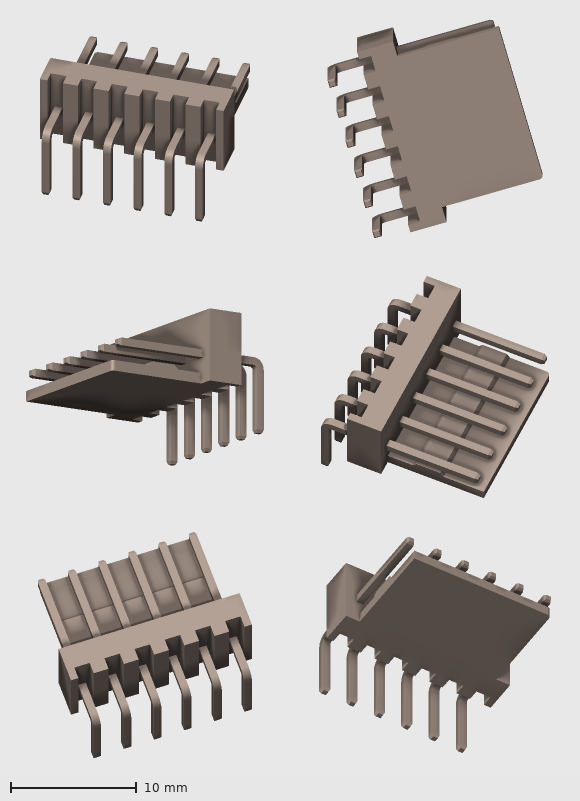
import cadquery as cq

PIN_COUNT = 6
WIDTH = 15.24
PITCH = WIDTH / PIN_COUNT
FIRST_PIN_X = -WIDTH / 2 + PITCH / 2
PIN_XS = [FIRST_PIN_X + i * PITCH for i in range(PIN_COUNT)]

WALL_DEPTH = 2.99
WALL_HEIGHT = 5.9
SLOT_WIDTH = 1.3
SLOT_DEPTH = 0.99

PLATE_WIDTH = WIDTH - PITCH
PLATE_LENGTH = 8.4
PLATE_THICKNESS = 0.87
CATCH_START = 2.16
CATCH_END = 4.88
CATCH_HEIGHT = 0.35
CATCH_FRONT_RUN = 0.35
CATCH_REAR_RUN = 0.29
CORNER_RADIUS = 0.3

PIN_SIZE = 0.64
PIN_TOP_Z = 2.71
PIN_REAR_Y = 8.0
PIN_FRONT_REACH = 2.71
PIN_FRONT_Y = -(WALL_DEPTH + PIN_FRONT_REACH)
PIN_BOTTOM_Z = -3.4
BEND_OUTER_RADIUS = 0.93
BEND_INNER_RADIUS = BEND_OUTER_RADIUS - PIN_SIZE
TIP_LENGTH = 0.26
TIP_INSET = 0.1


def make_wall():
    wall = cq.Workplane("XY").box(WIDTH, WALL_DEPTH, WALL_HEIGHT, centered=(True, False, False))
    wall = wall.translate((0, -WALL_DEPTH, 0))
    for x in PIN_XS:
        slot = cq.Workplane("XY").box(SLOT_WIDTH, SLOT_DEPTH, WALL_HEIGHT, centered=(True, False, False))
        wall = wall.cut(slot.translate((x, -WALL_DEPTH, 0)))
    return wall


def make_plate():
    catch_top = PLATE_THICKNESS + CATCH_HEIGHT
    plate = (
        cq.Workplane("YZ")
        .moveTo(0, 0)
        .lineTo(PLATE_LENGTH, 0)
        .lineTo(PLATE_LENGTH, PLATE_THICKNESS)
        .lineTo(CATCH_END, PLATE_THICKNESS)
        .lineTo(CATCH_END - CATCH_REAR_RUN, catch_top)
        .lineTo(CATCH_START + CATCH_FRONT_RUN, catch_top)
        .lineTo(CATCH_START, PLATE_THICKNESS)
        .lineTo(0, PLATE_THICKNESS)
        .close()
        .extrude(PLATE_WIDTH / 2, both=True)
    )
    return plate.edges("|Z and >Y").edges("<X").fillet(CORNER_RADIUS)


def make_pin_tip():
    """Tapered square end, from its full section at Z = 0 up to the small end."""
    end_size = PIN_SIZE - 2 * TIP_INSET
    return (
        cq.Workplane("XY")
        .rect(PIN_SIZE, PIN_SIZE)
        .workplane(offset=TIP_LENGTH)
        .rect(end_size, end_size)
        .loft(ruled=True)
    )


def make_pin():
    rear_y = PIN_REAR_Y - TIP_LENGTH
    bottom_z = PIN_BOTTOM_Z + TIP_LENGTH
    inner_y = PIN_FRONT_Y + PIN_SIZE
    under_z = PIN_TOP_Z - PIN_SIZE
    bend_y = PIN_FRONT_Y + BEND_OUTER_RADIUS
    bend_z = PIN_TOP_Z - BEND_OUTER_RADIUS
    bar = (
        cq.Workplane("YZ")
        .moveTo(rear_y, PIN_TOP_Z)
        .lineTo(bend_y, PIN_TOP_Z)
        .radiusArc((PIN_FRONT_Y, bend_z), -BEND_OUTER_RADIUS)
        .lineTo(PIN_FRONT_Y, bottom_z)
        .lineTo(inner_y, bottom_z)
        .lineTo(inner_y, bend_z)
        .radiusArc((bend_y, under_z), BEND_INNER_RADIUS)
        .lineTo(rear_y, under_z)
        .close()
        .extrude(PIN_SIZE / 2, both=True)
    )
    rear_tip = make_pin_tip().rotate((0, 0, 0), (1, 0, 0), -90)
    rear_tip = rear_tip.translate((0, rear_y, PIN_TOP_Z - PIN_SIZE / 2))
    bottom_tip = make_pin_tip().rotate((0, 0, 0), (1, 0, 0), 180)
    bottom_tip = bottom_tip.translate((0, PIN_FRONT_Y + PIN_SIZE / 2, bottom_z))
    return bar.union(rear_tip).union(bottom_tip)


result = make_wall().union(make_plate())
pin = make_pin()
for pin_x in PIN_XS:
    result = result.union(pin.translate((pin_x, 0, 0)))